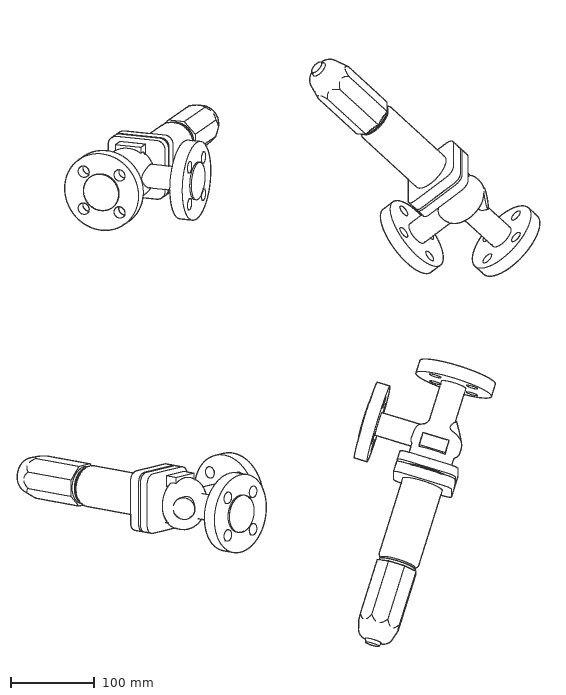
import cadquery as cq
import math


overall_length = 348.2
overall_width = 137.5

flange_diameter = 95.0
flange_thickness = 16.0
raised_face_diameter = 45.3
raised_face_height = 2.0
bolt_hole_diameter = 14.0
bolt_circle_diameter = 65.0
bolt_count = 4
centre_to_face = overall_width - flange_diameter / 2

inlet_radius = 15.3
outlet_radius = 14.3

bulb_radius = 31.7
bulb_belt_top = 5.0
bulb_upper_round = 8.0
bulb_lower_round = 16.0
neck_radius = 26.8
neck_lower_fillet = 4.0
neck_upper_fillet = 4.2
inlet_fillet = 10.0

square_side = 73.0
square_corner_radius = 10.8
lower_square_bottom = 28.2
lower_square_top = 39.0
upper_square_bottom = 41.8
upper_square_top = 54.5
gasket_radius = 31.0
gasket_height = 1.5
spigot_radius = 28.0

bonnet_diameter = 49.8
bonnet_top = 154.0
bonnet_rim_round = 4.2
groove_radius = 21.2
collar_radius = 22.5
collar_height = 3.5

cap_across_flats = 48.7
cap_sides = 8
cap_bottom = 159.5
cap_shoulder = 234.7
cap_taper_angle = 16.0
cap_crown = 254.0
cap_crown_round = 11.0
nub_base_radius = 10.0
nub_top_radius = 8.5
cap_top = overall_length - centre_to_face

boss_diameter = 26.5
boss_angle = 30.0
boss_length = 28.0
boss_face_x = -23.5
boss_face_y = -18.5

pad_length = 32.7
pad_width = 15.5
pad_centre_y = 7.5
pad_top = 34.5


def disc(radius, bottom, top):
    """Cylinder on the valve axis between two heights."""
    return cq.Workplane("XZ", origin=(0, bottom, 0)).circle(radius).extrude(bottom - top)


def arc_middle(centre, start, end):
    """Point halfway along the shorter arc from start to end."""
    middle_x = (start[0] + end[0]) / 2 - centre[0]
    middle_y = (start[1] + end[1]) / 2 - centre[1]
    radius = math.dist(centre, start)
    scale = radius / math.hypot(middle_x, middle_y)
    return (centre[0] + middle_x * scale, centre[1] + middle_y * scale)


def tangent_point(centre, radius, other_centre):
    """Point of a round where it meets a fillet that touches it."""
    share = radius / math.dist(centre, other_centre)
    return (
        centre[0] + share * (other_centre[0] - centre[0]),
        centre[1] + share * (other_centre[1] - centre[1]),
    )


def pipe_flange():
    """Bolted pipe flange with its raised face at Z = centre_to_face."""
    back = centre_to_face - raised_face_height - flange_thickness
    flange = (
        cq.Workplane("XY", origin=(0, 0, back))
        .circle(flange_diameter / 2)
        .extrude(flange_thickness)
        .faces(">Z").workplane()
        .circle(raised_face_diameter / 2)
        .extrude(raised_face_height)
    )
    holes = (
        cq.Workplane("XY", origin=(0, 0, back))
        .polarArray(bolt_circle_diameter / 2, 180 / bolt_count, 360, bolt_count)
        .circle(bolt_hole_diameter / 2)
        .extrude(flange_thickness)
    )
    return flange.cut(holes)


def branch(pipe_radius):
    """Pipe from the origin along +Z with its flange."""
    pipe = cq.Workplane("XY").circle(pipe_radius).extrude(centre_to_face - raised_face_height)
    return pipe.union(pipe_flange())


def valve_body():
    """Bulb turned about Y, blended into the inlet pipe and into the neck."""
    lower_centre = (bulb_radius - bulb_lower_round, 0)
    inlet_centre_x = inlet_radius + inlet_fillet
    inlet_drop = math.sqrt(
        (bulb_lower_round + inlet_fillet) ** 2 - (inlet_centre_x - lower_centre[0]) ** 2
    )
    inlet_centre = (inlet_centre_x, -inlet_drop)
    inlet_start = (inlet_radius, -inlet_drop)
    lower_joint = tangent_point(lower_centre, bulb_lower_round, inlet_centre)
    belt_bottom = (bulb_radius, 0)

    upper_centre = (bulb_radius - bulb_upper_round, bulb_belt_top)
    neck_centre_x = neck_radius + neck_lower_fillet
    neck_rise = math.sqrt(
        (bulb_upper_round + neck_lower_fillet) ** 2 - (neck_centre_x - upper_centre[0]) ** 2
    )
    neck_centre = (neck_centre_x, bulb_belt_top + neck_rise)
    neck_start = (neck_radius, bulb_belt_top + neck_rise)
    upper_joint = tangent_point(upper_centre, bulb_upper_round, neck_centre)
    belt_top = (bulb_radius, bulb_belt_top)

    collar_edge = (neck_radius + neck_upper_fillet, lower_square_bottom)
    collar_centre = (collar_edge[0], lower_square_bottom - neck_upper_fillet)
    neck_end = (neck_radius, collar_centre[1])

    return (
        cq.Workplane("XY")
        .moveTo(0, -inlet_drop)
        .lineTo(*inlet_start)
        .threePointArc(arc_middle(inlet_centre, inlet_start, lower_joint), lower_joint)
        .threePointArc(arc_middle(lower_centre, lower_joint, belt_bottom), belt_bottom)
        .lineTo(*belt_top)
        .threePointArc(arc_middle(upper_centre, belt_top, upper_joint), upper_joint)
        .threePointArc(arc_middle(neck_centre, upper_joint, neck_start), neck_start)
        .lineTo(*neck_end)
        .threePointArc(arc_middle(collar_centre, neck_end, collar_edge), collar_edge)
        .lineTo(0, lower_square_bottom)
        .close()
        .revolve(360, (0, 0, 0), (0, 1, 0))
    )


def square_flange(bottom, top):
    """Square plate with rounded corners across the valve axis."""
    plate = cq.Workplane("XZ", origin=(0, bottom, 0)).rect(square_side, square_side).extrude(bottom - top)
    return plate.edges("|Y").fillet(square_corner_radius)


def clamped_joint():
    """Two square flanges with the gasket and the spigot between them."""
    gasket_top = lower_square_top + gasket_height
    return (
        square_flange(lower_square_bottom, lower_square_top)
        .union(disc(gasket_radius, lower_square_top, gasket_top))
        .union(disc(spigot_radius, gasket_top, upper_square_bottom))
        .union(square_flange(upper_square_bottom, upper_square_top))
    )


def spring_bonnet():
    """Round bonnet with a rounded rim, then a groove and a collar below the cap."""
    bonnet = disc(bonnet_diameter / 2, upper_square_top, bonnet_top)
    bonnet = bonnet.faces(">Y").edges().fillet(bonnet_rim_round)
    groove = disc(groove_radius, bonnet_top - bonnet_rim_round, cap_bottom)
    collar = disc(collar_radius, cap_bottom - collar_height, cap_bottom)
    return bonnet.union(groove).union(collar)


def octagonal_cap():
    """Octagonal bar whose end is turned to a taper with a rounded crown and a tapered nub."""
    corner_radius = cap_across_flats / 2 / math.cos(math.pi / cap_sides)
    bar = (
        cq.Workplane("XZ", origin=(0, cap_bottom, 0))
        .transformed(rotate=(0, 0, 180 / cap_sides))
        .polygon(cap_sides, 2 * corner_radius)
        .extrude(cap_bottom - cap_crown)
    )
    taper = math.tan(math.radians(cap_taper_angle))
    crown_radius = cap_across_flats / 2 - taper * (cap_crown - cap_shoulder)
    base_radius = cap_across_flats / 2 + taper * (cap_shoulder - cap_bottom)
    turned_end = (
        cq.Workplane("XY")
        .polyline([(0, cap_bottom), (base_radius, cap_bottom), (crown_radius, cap_crown), (0, cap_crown)])
        .close()
        .revolve(360, (0, 0, 0), (0, 1, 0))
        .faces(">Y").edges().fillet(cap_crown_round)
    )
    nub = (
        cq.Workplane("XY")
        .polyline([(0, cap_crown), (nub_base_radius, cap_crown), (nub_top_radius, cap_top), (0, cap_top)])
        .close()
        .revolve(360, (0, 0, 0), (0, 1, 0))
    )
    return bar.intersect(turned_end).union(nub)


def slanted_boss():
    """Round boss that leaves the body towards -X and -Y."""
    angle = math.radians(boss_angle)
    inward = (math.cos(angle), math.sin(angle), 0)
    face = cq.Plane(origin=(boss_face_x, boss_face_y, 0), xDir=(0, 0, 1), normal=inward)
    return cq.Workplane(face).circle(boss_diameter / 2).extrude(boss_length)


def name_plate_pad():
    """Flat pad that stands up from the middle of the body."""
    return cq.Workplane("XY", origin=(0, pad_centre_y, 0)).rect(pad_length, pad_width).extrude(pad_top)


inlet = branch(inlet_radius).rotate((0, 0, 0), (1, 0, 0), 90)
outlet = branch(outlet_radius).rotate((0, 0, 0), (0, 1, 0), 90)

result = (
    valve_body()
    .union(inlet)
    .union(outlet)
    .union(slanted_boss())
    .union(name_plate_pad())
    .union(clamped_joint())
    .union(spring_bonnet())
    .union(octagonal_cap())
)